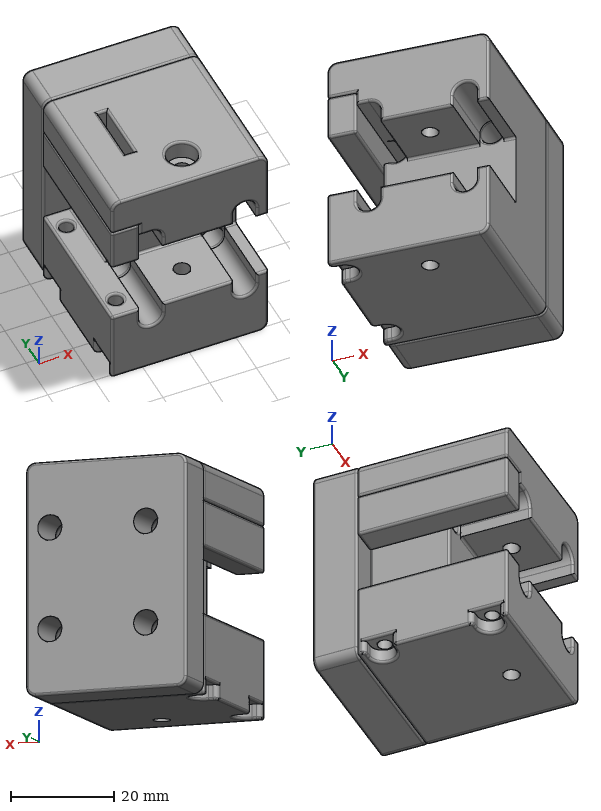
import cadquery as cq
import math

WIDTH = 33.5
DEPTH = 41.5
HEIGHT = 46.0
PLATE_THICKNESS = 9.48
HOUSING_DEPTH = DEPTH - PLATE_THICKNESS
CORNER_RADIUS = 2.0
EDGE_RADIUS = 0.5
EDGE_BEND = EDGE_RADIUS * (1 - math.sqrt(0.5))

GAP_FLOOR = 15.4
GAP_CEILING = HEIGHT - GAP_FLOOR
WALL_FRONT = 15.0

BAR_WIDTH = 6.0
BAR_TOP = 38.2
BAR_BOTTOM = 29.0
LEDGE_TOP = 15.85

BORE_RADIUS = 5.0 / 2
BORE_SPACING = 20.0
LEFT_BORE_X = BAR_WIDTH + BORE_RADIUS
RIGHT_BORE_X = LEFT_BORE_X + BORE_SPACING
LOWER_BORE_Z = (HEIGHT - BORE_SPACING) / 2
UPPER_BORE_Z = LOWER_BORE_Z + BORE_SPACING
BORE_XS = (LEFT_BORE_X, RIGHT_BORE_X)
BORE_ZS = (LOWER_BORE_Z, UPPER_BORE_Z)

SCREW_X = (LEFT_BORE_X + RIGHT_BORE_X) / 2
SCREW_Y = WALL_FRONT / 2
SCREW_DIAMETER = 3.4
SCREW_HEAD_DIAMETER = 6.5
SCREW_HEAD_DEPTH = 4.0

SLOT_WIDTH = 1.95
SLOT_LENGTH = 12.7
SLOT_CENTER_X = 9.4
SLOT_CENTER_Y = 18.4

BAR_SCREW_RADIUS = 3.0 / 2
BAR_SCREW_X = BAR_WIDTH / 2
BAR_SCREW_END_DISTANCE = 4.55
BAR_SCREW_YS = (BAR_SCREW_END_DISTANCE, HOUSING_DEPTH - BAR_SCREW_END_DISTANCE)
POCKET_HALF_WIDTH = 5.5 / 2
POCKET_CENTER_X = 2.0
POCKET_HEIGHT = 3.0
POCKET_MOUTH_RADIUS = 1.0


def box(x_range, y_range, z_range):
    """Box between the given start and end on each axis."""
    size = [end - start for start, end in (x_range, y_range, z_range)]
    corner = (x_range[0], y_range[0], z_range[0])
    return cq.Workplane("XY").box(*size, centered=False).translate(corner)


def bore(x, z, y_start, y_end):
    """Rod bore lying along Y."""
    plane = cq.Workplane("XZ", origin=(x, y_start, z))
    return plane.circle(BORE_RADIUS).extrude(y_start - y_end)


def mouth(center, radius, direction):
    """Ring cutter that rounds the mouth of a round hole; the direction points into the part."""
    normal = (0, -direction[2], direction[1])
    plane = cq.Plane(origin=center, xDir=(1, 0, 0), normal=normal)
    profile = (
        cq.Workplane(plane)
        .lineTo(radius + EDGE_RADIUS, 0)
        .threePointArc((radius + EDGE_BEND, EDGE_BEND), (radius, EDGE_RADIUS))
        .lineTo(0, EDGE_RADIUS)
        .close()
    )
    return profile.revolve(360, (0, 0), (0, 1))


def gap():
    """Space between the arms, with rounded corners where the arms meet the wall."""
    space = box((BAR_WIDTH, WIDTH), (0, WALL_FRONT), (GAP_FLOOR, GAP_CEILING))
    return space.edges("|X and >Y").fillet(EDGE_RADIUS)


def bar_recess():
    """Side recess along the housing, with a rounded corner where its ledge meets the wall."""
    above_ledge = box((0, BAR_WIDTH), (0, HOUSING_DEPTH), (LEDGE_TOP, BAR_TOP))
    above_ledge = above_ledge.edges("|Y and >X and <Z").fillet(EDGE_RADIUS)
    beside_gap = box((0, BAR_WIDTH), (0, WALL_FRONT), (LEDGE_TOP, BAR_TOP))
    return above_ledge.union(beside_gap)


def wall_edge():
    """Sliver that rounds the upright front edge of the middle wall beside the recess."""
    outline = (
        cq.Workplane("XY", origin=(BAR_WIDTH, WALL_FRONT, LEDGE_TOP))
        .lineTo(EDGE_RADIUS, 0)
        .threePointArc((EDGE_BEND, EDGE_BEND), (0, EDGE_RADIUS))
        .close()
    )
    return outline.extrude(UPPER_BORE_Z - LEDGE_TOP)


def bar_pocket(y):
    """Pocket open to the side and the bottom, with a round end and a rounded mouth."""
    half = POCKET_HALF_WIDTH
    mouth_half = half + POCKET_MOUTH_RADIUS
    bend = POCKET_MOUTH_RADIUS * (1 - math.sqrt(0.5))
    outline = (
        cq.Workplane("XY", origin=(0, y, 0))
        .moveTo(0, -mouth_half)
        .threePointArc((bend, -half - bend), (POCKET_MOUTH_RADIUS, -half))
        .lineTo(POCKET_CENTER_X, -half)
        .threePointArc((POCKET_CENTER_X + half, 0), (POCKET_CENTER_X, half))
        .lineTo(POCKET_MOUTH_RADIUS, half)
        .threePointArc((bend, half + bend), (0, mouth_half))
        .close()
    )
    return outline.extrude(POCKET_HEIGHT)


def pocket_lip(y):
    """Sliver that rounds the upper edge of a pocket on the side face."""
    mouth_half = POCKET_HALF_WIDTH + POCKET_MOUTH_RADIUS
    outline = (
        cq.Workplane("XZ", origin=(0, y + mouth_half, POCKET_HEIGHT))
        .lineTo(EDGE_RADIUS, 0)
        .threePointArc((EDGE_BEND, EDGE_BEND), (0, EDGE_RADIUS))
        .close()
    )
    return outline.extrude(2 * mouth_half)


def cut_bores(body):
    """Cut the rod bores and the grooves that open them to the gap and to the recess."""
    for x in BORE_XS:
        groove_sides = (x - BORE_RADIUS, x + BORE_RADIUS)
        body = body.cut(box(groove_sides, (0, WALL_FRONT), BORE_ZS))
        for z in BORE_ZS:
            body = body.cut(bore(x, z, 0, HOUSING_DEPTH))
    side_opening = (UPPER_BORE_Z - BORE_RADIUS, UPPER_BORE_Z + BORE_RADIUS)
    return body.cut(box((BAR_WIDTH, LEFT_BORE_X), (0, HOUSING_DEPTH), side_opening))


def round_wall(body):
    """Round the bore mouths and the free upright edge of the middle wall."""
    for x in BORE_XS:
        for z in BORE_ZS:
            body = body.cut(mouth((x, WALL_FRONT, z), BORE_RADIUS, (0, 1, 0)))
    return body.cut(wall_edge())


def cut_bar_pockets(body):
    """Cut the two bar screw pockets and round their edges."""
    for y in BAR_SCREW_YS:
        body = body.cut(bar_pocket(y))
    pocket_edges = [
        edge
        for edge in body.faces("<Z").edges().vals()
        if EDGE_RADIUS < round(edge.Center().x, 3) < BAR_WIDTH
    ]
    body = body.newObject(pocket_edges).fillet(EDGE_RADIUS)
    for y in BAR_SCREW_YS:
        body = body.cut(pocket_lip(y))
    return body


def cut_bar_screw_holes(body):
    """Drill the ledge down to the pockets and round the hole mouths."""
    for y in BAR_SCREW_YS:
        plane = cq.Workplane("XY", origin=(BAR_SCREW_X, y, 0))
        body = body.cut(plane.circle(BAR_SCREW_RADIUS).extrude(LEDGE_TOP))
        body = body.cut(mouth((BAR_SCREW_X, y, LEDGE_TOP), BAR_SCREW_RADIUS, (0, 0, -1)))
    return body


def cut_top_openings(body):
    """Cut the counterbored clamp screw hole and the slot, and round their upper edges."""
    screw_plane = body.faces(">Z").workplane(origin=(SCREW_X, SCREW_Y, HEIGHT))
    body = screw_plane.cboreHole(SCREW_DIAMETER, SCREW_HEAD_DIAMETER, SCREW_HEAD_DEPTH)
    slot_plane = cq.Workplane("XY", origin=(SLOT_CENTER_X, SLOT_CENTER_Y, HEIGHT))
    body = body.cut(slot_plane.rect(SLOT_WIDTH, SLOT_LENGTH).extrude(UPPER_BORE_Z - HEIGHT))
    openings = body.faces(">Z").val().innerWires()
    edges = [edge for opening in openings for edge in opening.Edges()]
    return body.newObject(edges).fillet(EDGE_RADIUS)


def make_housing():
    """C-shaped housing with two arms joined by the middle wall."""
    body = box((0, WIDTH), (0, HOUSING_DEPTH), (0, HEIGHT))
    body = body.edges("|Y and (>X or >Z)").fillet(CORNER_RADIUS)
    body = body.cut(bar_recess()).cut(gap())
    body = cut_bores(body)
    body = body.faces("<Y or >Y or <X").edges().fillet(EDGE_RADIUS)
    body = round_wall(body)
    body = cut_bar_pockets(body)
    body = cut_top_openings(body)
    return cut_bar_screw_holes(body)


def make_plate():
    """Rear plate with the rod bores running through it."""
    body = box((0, WIDTH), (HOUSING_DEPTH, DEPTH), (0, HEIGHT))
    body = body.edges("|Y").fillet(CORNER_RADIUS)
    body = body.faces("<Y or >Y").edges().fillet(EDGE_RADIUS)
    for x in BORE_XS:
        for z in BORE_ZS:
            body = body.cut(bore(x, z, HOUSING_DEPTH, DEPTH))
    return body


def make_bar():
    """Clamp bar that fills the upper part of the side recess."""
    body = box((0, BAR_WIDTH), (0, HOUSING_DEPTH), (BAR_BOTTOM, BAR_TOP))
    return body.edges().fillet(EDGE_RADIUS)


housing = make_housing()
plate = make_plate()
bar = make_bar()
result = cq.Compound.makeCompound([housing.val(), plate.val(), bar.val()])